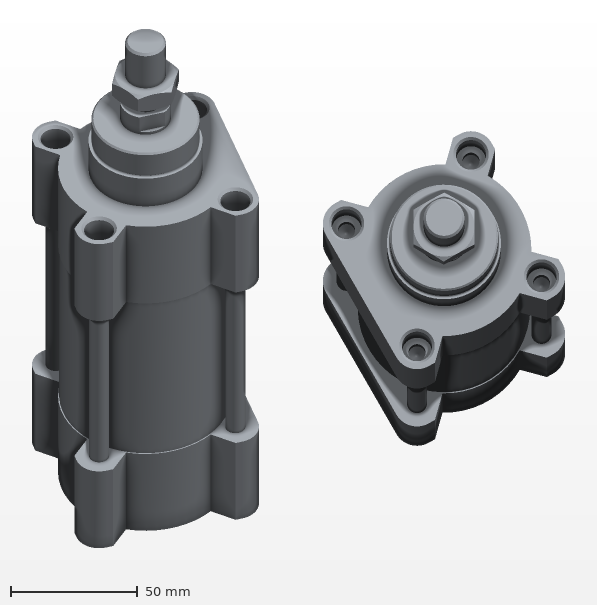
import cadquery as cq
import math

TOTAL_HEIGHT = 233.0
SPIGOT_LENGTH = 4.0
CAP_HEIGHT = 40.8
TUBE_LENGTH = 80.0
COLLAR_LENGTH = 14.7
NOSE_LENGTH = 12.1

REAR_CAP_BOTTOM = SPIGOT_LENGTH
REAR_CAP_TOP = REAR_CAP_BOTTOM + CAP_HEIGHT
FRONT_CAP_BOTTOM = REAR_CAP_TOP + TUBE_LENGTH
FRONT_CAP_TOP = FRONT_CAP_BOTTOM + CAP_HEIGHT
COLLAR_TOP = FRONT_CAP_TOP + COLLAR_LENGTH
NOSE_TOP = COLLAR_TOP + NOSE_LENGTH

CAP_WIDTH = 75.0
BODY_DIAMETER = 69.0
LUG_RADIUS = 9.3
RIB_WIDTH = 17.2

TUBE_DIAMETER = 68.0
TIE_ROD_DIAMETER = 8.0
COLLAR_DIAMETER = 45.0
NOSE_DIAMETER = 42.7
EDGE_CHAMFER = 0.7

MOUTH_DIAMETER = 14.0
SOCKET_DIAMETER = 12.0
SOCKET_DEPTH = 14.0
CORE_DIAMETER = 6.8
CORE_DEPTH = 18.6
DRILL_POINT_ANGLE = 118.0

SHANK_DIAMETER = 20.0
SHANK_TOP = 201.2
FLAT_SPACING = 17.0
FLAT_BOTTOM = 193.7
NECK_DIAMETER = 13.3
NECK_TOP = 203.7
THREAD_DIAMETER = 16.0
THREAD_TIP_CHAMFER = 1.0
THREAD_ROOT_CHAMFER = (THREAD_DIAMETER - NECK_DIAMETER) / 2

NUT_BOTTOM = 206.8
NUT_HEIGHT = 8.5
NUT_ACROSS_FLATS = 24.0
NUT_CHAMFER_ANGLE = 30.0

LUG_OFFSET = CAP_WIDTH / 2 - LUG_RADIUS
LUG_CENTRES = [(x * LUG_OFFSET, y * LUG_OFFSET) for x in (-1, 1) for y in (-1, 1)]


def cylinder(diameter, bottom, top):
    return cq.Workplane("XY").workplane(offset=bottom).circle(diameter / 2).extrude(top - bottom)


def lug(bottom, angle):
    """Corner lug: a diagonal rib cut off by the square envelope and rounded at its outer corner."""
    rib = (
        cq.Workplane("XY").workplane(offset=bottom)
        .center(CAP_WIDTH / 2, 0).rect(CAP_WIDTH, RIB_WIDTH).extrude(CAP_HEIGHT)
        .rotate((0, 0, 0), (0, 0, 1), 45)
    )
    envelope = (
        cq.Workplane("XY").workplane(offset=bottom).rect(CAP_WIDTH, CAP_WIDTH).extrude(CAP_HEIGHT)
        .edges("|Z").fillet(LUG_RADIUS)
    )
    return rib.intersect(envelope).rotate((0, 0, 0), (0, 0, 1), angle)


def end_cap(bottom):
    """Round cap with four corner lugs and a straight web joining the two lugs on the +Y side."""
    cap = cylinder(BODY_DIAMETER, bottom, bottom + CAP_HEIGHT)
    for quarter in range(4):
        cap = cap.union(lug(bottom, 90 * quarter))
    web = (
        cq.Workplane("XY").workplane(offset=bottom)
        .center(0, CAP_WIDTH / 4).rect(2 * LUG_OFFSET, CAP_WIDTH / 2).extrude(CAP_HEIGHT)
    )
    return cap.union(web)


def socket_hole():
    """Cutter for one chamfered, stepped blind hole with a drill-point end, its mouth at the origin."""
    mouth = MOUTH_DIAMETER / 2
    socket = SOCKET_DIAMETER / 2
    core = CORE_DIAMETER / 2
    point = core / math.tan(math.radians(DRILL_POINT_ANGLE / 2))
    profile = [
        (0, 0),
        (mouth, 0),
        (socket, socket - mouth),
        (socket, -SOCKET_DEPTH),
        (core, -SOCKET_DEPTH),
        (core, -CORE_DEPTH),
        (0, -CORE_DEPTH - point),
    ]
    return cq.Workplane("XZ").polyline(profile).close().revolve(360, (0, 0), (0, 1))


def make_housing():
    """Both end caps, the tube, the tie rods and the stepped centring collars."""
    housing = end_cap(REAR_CAP_BOTTOM).union(end_cap(FRONT_CAP_BOTTOM))
    housing = housing.union(cylinder(TUBE_DIAMETER, REAR_CAP_TOP, FRONT_CAP_BOTTOM))
    spigot = cylinder(COLLAR_DIAMETER, 0, REAR_CAP_BOTTOM).faces("<Z").chamfer(EDGE_CHAMFER)
    collar = cylinder(COLLAR_DIAMETER, FRONT_CAP_TOP, COLLAR_TOP)
    nose = cylinder(NOSE_DIAMETER, COLLAR_TOP, NOSE_TOP).faces("<Z or >Z").chamfer(EDGE_CHAMFER)
    housing = housing.union(spigot).union(collar).union(nose)
    for x, y in LUG_CENTRES:
        tie_rod = cylinder(TIE_ROD_DIAMETER, REAR_CAP_TOP, FRONT_CAP_BOTTOM).translate((x, y, 0))
        hole = socket_hole().translate((x, y, FRONT_CAP_TOP))
        housing = housing.union(tie_rod).cut(hole)
    return housing


def make_rod():
    """Piston rod: shank with two wrench flats facing X, an undercut neck and a threaded end."""
    shank = cylinder(SHANK_DIAMETER, NOSE_TOP, SHANK_TOP)
    flats = (
        cq.Workplane("XY").workplane(offset=FLAT_BOTTOM)
        .rect(FLAT_SPACING, SHANK_DIAMETER).extrude(SHANK_TOP - FLAT_BOTTOM)
    )
    shank = shank.intersect(flats.union(cylinder(SHANK_DIAMETER, NOSE_TOP, FLAT_BOTTOM)))
    neck = cylinder(NECK_DIAMETER, SHANK_TOP, NECK_TOP)
    thread = cylinder(THREAD_DIAMETER, NECK_TOP, TOTAL_HEIGHT)
    thread = thread.faces(">Z").chamfer(THREAD_TIP_CHAMFER)
    thread = thread.faces("<Z").chamfer(THREAD_ROOT_CHAMFER)
    return shank.union(neck).union(thread)


def make_nut():
    """Hexagon with corners on the Y axis, bevelled at both ends and bored for the rod thread."""
    corner_diameter = NUT_ACROSS_FLATS / math.cos(math.radians(30))
    nut_top = NUT_BOTTOM + NUT_HEIGHT
    hexagon = (
        cq.Workplane("XY").workplane(offset=NUT_BOTTOM)
        .polygon(6, corner_diameter).extrude(NUT_HEIGHT)
        .rotate((0, 0, 0), (0, 0, 1), 90)
    )
    bevel_width = (corner_diameter - NUT_ACROSS_FLATS) / 2
    bevel_height = bevel_width * math.tan(math.radians(NUT_CHAMFER_ANGLE))
    envelope = cylinder(corner_diameter, NUT_BOTTOM, nut_top)
    envelope = envelope.faces("<Z or >Z").chamfer(bevel_height, bevel_width)
    bore = cylinder(THREAD_DIAMETER, NUT_BOTTOM, nut_top)
    return hexagon.intersect(envelope).cut(bore)


housing = make_housing()
rod = make_rod()
nut = make_nut()

result = cq.Compound.makeCompound([housing.val(), rod.val(), nut.val()])